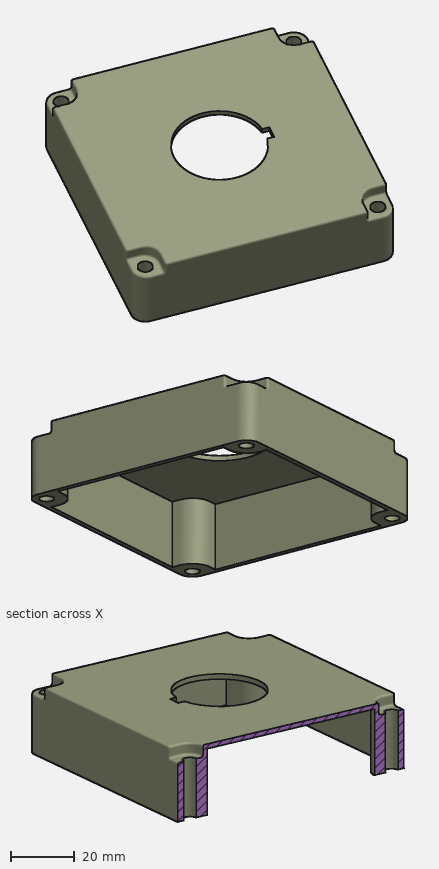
import cadquery as cq

side = 87.3
height = 23.8
wall = 1.75

seat_depth = 4.0
seat_size = 9.7
edge_rounding = 0.8
screw_hole_diameter = 4.8
screw_spacing = 77.8

opening_diameter = 30.5
key_width = 4.5
key_reach = 17.5

screw_inset = (side - screw_spacing) / 2
corner_radius = screw_inset
seat_radius = seat_size - screw_inset
seat_floor_z = height - seat_depth
half_side = side / 2
post_size = seat_size + wall
post_radius = seat_radius + wall
tolerance = 0.01


def corner_blocks(size, radius, bottom_z, block_height):
    """Blocks at the box corners, reaching inward by size, with rounded vertical edges."""
    return (
        cq.Workplane("XY")
        .workplane(offset=bottom_z)
        .rect(side, side, forConstruction=True)
        .vertices()
        .rect(2 * size, 2 * size)
        .extrude(block_height)
        .edges("|Z")
        .fillet(radius)
    )


def rounded_box():
    """Solid box standing on Z = 0 with rounded vertical corners."""
    return (
        cq.Workplane("XY")
        .rect(side, side)
        .extrude(height)
        .edges("|Z")
        .fillet(corner_radius)
    )


def round_upper_edges(body):
    """Round the rims and floors of the screw seats and the edge of the top face."""
    above_seats = cq.selectors.BoxSelector(
        (-side, -side, seat_floor_z - tolerance),
        (side, side, height + tolerance),
    )
    seat_wall_joints = cq.selectors.BoxSelector(
        (-half_side + tolerance, -half_side + tolerance, 0),
        (half_side - tolerance, half_side - tolerance, height - tolerance),
    ) & cq.selectors.ParallelDirSelector(cq.Vector(0, 0, 1))
    return body.edges(above_seats - seat_wall_joints).fillet(edge_rounding)


def cavity():
    """Hollow open at the bottom, leaving a solid post under each screw seat."""
    hollow = cq.Workplane("XY").rect(side - 2 * wall, side - 2 * wall).extrude(height - wall)
    return hollow.cut(corner_blocks(post_size, post_radius, 0, height))


def screw_holes():
    """Through holes on the centres of the corner roundings."""
    return (
        cq.Workplane("XY")
        .rect(screw_spacing, screw_spacing, forConstruction=True)
        .vertices()
        .circle(screw_hole_diameter / 2)
        .extrude(height)
    )


def panel_opening():
    """Round opening joined with its key notch."""
    bore = cq.Workplane("XY").circle(opening_diameter / 2).extrude(height)
    key = cq.Workplane("XY").center(0, key_reach / 2).rect(key_width, key_reach).extrude(height)
    return bore.union(key)


seats = corner_blocks(seat_size, seat_radius, seat_floor_z, seat_depth)
enclosure = round_upper_edges(rounded_box().cut(seats))
result = enclosure.cut(cavity()).cut(screw_holes()).cut(panel_opening())